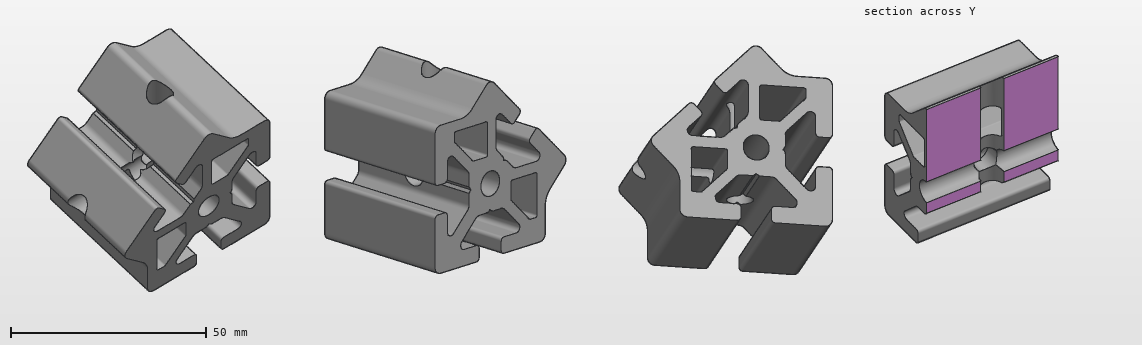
import cadquery as cq
import math


SIDE = 40.0
HALF_SIDE = SIDE / 2
LENGTH = SIDE
CORNER_RADIUS = 2.0
VALLEY_RADIUS = 6.0

SLOT_HALF_OPENING = 4.0
LIP_THICKNESS = 4.45
LIP_RADIUS = 1.0
SLOT_FLOOR = 7.65
SLOT_FLOOR_HALF_WIDTH = 4.7
SLOT_END_RADIUS = 1.35
SLOT_FLOOR_RADIUS = 2.0
GROOVE_HALF_WIDTH = 0.85
GROOVE_DEPTH = 0.55
DIAGONAL_ANGLE = 135
BACK_ANGLE = 0
BOTTOM_ANGLE = -90

WALL = 3.0
CHAMBER_INNER = 7.5
CHAMBER_OUTER = 13.05
CHAMBER_RADIUS = 0.65

BORE_DIAMETER = 6.8
CROSS_HOLE_DIAMETER = 7.0

SQRT2 = math.sqrt(2)


def rounded_outline(corners):
    """Closed YZ outline through (y, z, radius) corners, each rounded to its radius."""
    path = cq.Workplane("YZ").workplane(offset=-LENGTH / 2)
    for i, (y, z, radius) in enumerate(corners):
        corner = cq.Vector(y, z)
        before = cq.Vector(*corners[i - 1][:2])
        after = cq.Vector(*corners[(i + 1) % len(corners)][:2])
        to_before = (before - corner).normalized()
        to_after = (after - corner).normalized()
        half_angle = to_before.getAngle(to_after) / 2
        setback = radius / math.tan(half_angle)
        arc_start = corner + to_before * setback
        draw_to = path.moveTo if i == 0 else path.lineTo
        path = draw_to(arc_start.x, arc_start.y)
        if radius > 0:
            arc_end = corner + to_after * setback
            bisector = (to_before + to_after).normalized()
            arc_middle = corner + bisector * (radius / math.sin(half_angle) - radius)
            path = path.threePointArc((arc_middle.x, arc_middle.y), (arc_end.x, arc_end.y))
    return path.close()


def slot_corners(angle):
    """Corners of the T-slot facing the given angle, in clockwise order."""
    lip_inside = HALF_SIDE - LIP_THICKNESS
    slot_end = SLOT_FLOOR_HALF_WIDTH + lip_inside - SLOT_FLOOR
    half = [
        (HALF_SIDE, SLOT_HALF_OPENING, LIP_RADIUS),
        (lip_inside, SLOT_HALF_OPENING, LIP_RADIUS),
        (lip_inside, slot_end, SLOT_END_RADIUS),
        (SLOT_FLOOR, SLOT_FLOOR_HALF_WIDTH, SLOT_FLOOR_RADIUS),
        (SLOT_FLOOR, GROOVE_HALF_WIDTH, 0),
    ]
    groove_bottom = [(SLOT_FLOOR - GROOVE_DEPTH, 0, 0)]
    other_half = [(out, -side, radius) for out, side, radius in reversed(half)]
    cos = math.cos(math.radians(angle))
    sin = math.sin(math.radians(angle))
    return [
        (out * cos - side * sin, out * sin + side * cos, radius)
        for out, side, radius in half + groove_bottom + other_half
    ]


def section_body():
    """Solid section with its three slots, without the chambers and holes."""
    tip = HALF_SIDE * SQRT2
    valley = tip - HALF_SIDE
    corners = [
        (-tip, 0, CORNER_RADIUS),
        *slot_corners(DIAGONAL_ANGLE),
        (0, tip, CORNER_RADIUS),
        (valley, HALF_SIDE, VALLEY_RADIUS),
        (HALF_SIDE, HALF_SIDE, CORNER_RADIUS),
        *slot_corners(BACK_ANGLE),
        (HALF_SIDE, -HALF_SIDE, CORNER_RADIUS),
        *slot_corners(BOTTOM_ANGLE),
        (-HALF_SIDE, -HALF_SIDE, CORNER_RADIUS),
        (-HALF_SIDE, -valley, VALLEY_RADIUS),
    ]
    return rounded_outline(corners).extrude(LENGTH)


def upper_chamber():
    """Hollow between the back slot and the diagonal slot."""
    slot_wall = SLOT_FLOOR - SLOT_FLOOR_HALF_WIDTH
    front = WALL - slot_wall / SQRT2
    slope = WALL * SQRT2 - slot_wall
    top = HALF_SIDE - WALL
    corners = [
        (front, top),
        (CHAMBER_OUTER, top),
        (CHAMBER_OUTER, CHAMBER_OUTER + slope),
        (CHAMBER_INNER - slope, CHAMBER_INNER),
        (front, CHAMBER_INNER),
    ]
    return rounded_outline([(y, z, CHAMBER_RADIUS) for y, z in corners]).extrude(LENGTH)


def through_hole(plane, diameter):
    """Long cylinder through the origin, normal to the given plane."""
    return cq.Workplane(plane).circle(diameter / 2).extrude(2 * LENGTH, both=True)


def diagonal_hole():
    """Hole from the mouth of the diagonal slot down to the bore axis."""
    angle = math.radians(DIAGONAL_ANGLE)
    outward = (0, math.cos(angle), math.sin(angle))
    plane = cq.Plane(origin=(0, 0, 0), xDir=(1, 0, 0), normal=outward)
    return cq.Workplane(plane).circle(CROSS_HOLE_DIAMETER / 2).extrude(HALF_SIDE)


chamber = upper_chamber()
lower_chamber = chamber.rotate((0, 0, 0), (1, 0, 0), 90).mirror("XY")

result = section_body().cut(chamber).cut(lower_chamber)
result = result.cut(through_hole("YZ", BORE_DIAMETER))
for hole_plane in ("XZ", "XY"):
    result = result.cut(through_hole(hole_plane, CROSS_HOLE_DIAMETER))
result = result.cut(diagonal_hole())